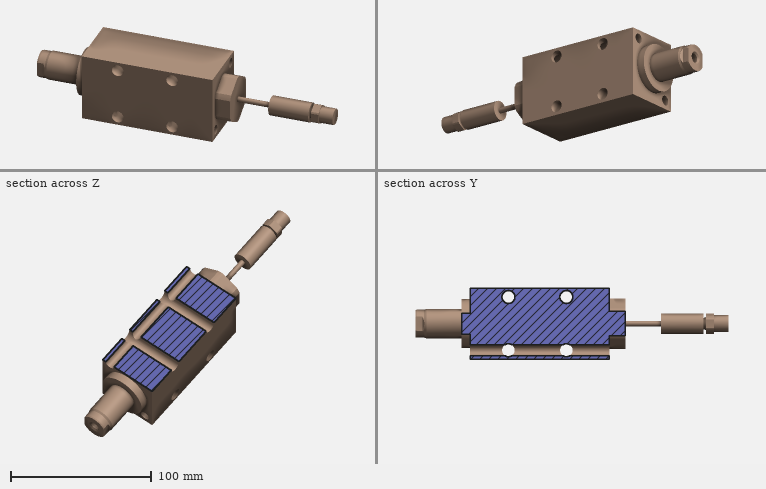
import cadquery as cq
import math


overall_length = 223.0

block_length = 99.0
block_width = 44.4
block_height = 50.8

cross_hole_diameter = 9.0
cross_hole_first_x = 27.2
cross_hole_pitch_x = 41.3
cross_hole_pitch_z = 38.0
long_hole_diameter = 7.1
long_hole_offset_y = 15.5
long_hole_offset_z = 19.0

flange_diameter = 34.8
flange_length = 6.0
nose_overhang = 39.0
tube_diameter = 21.0
nose_diameter = 19.8
nose_length = 6.2
shoulder_length = 1.5
nose_chamfer_length = 1.1
nose_chamfer_depth = 0.2
flats_width = 17.0
flats_length = 5.0

nose_hole_diameter = 6.7
nose_hole_mouth_diameter = 9.0
nose_hole_depth = 11.2

nut_across_flats = 33.0
nut_corner_diameter = 36.0
nut_length = 11.4

cable_diameter = 4.0
cable_length = 25.5
sleeve_diameter = 14.5
sleeve_length = 30.3
neck_start_diameter = 8.0
neck_end_diameter = 9.5
neck_length = 1.8
plug_nut_across_flats = 13.2
plug_nut_corner_diameter = 14.5
plug_nut_length = 5.8
plug_diameter = 12.0

hex_sides = 6
hex_turn = 180 / hex_sides

nose_tip_x = -nose_overhang
tube_start_x = nose_tip_x + nose_length + shoulder_length
cable_start_x = block_length + nut_length
sleeve_start_x = cable_start_x + cable_length
neck_start_x = sleeve_start_x + sleeve_length
plug_nut_start_x = neck_start_x + neck_length
plug_start_x = plug_nut_start_x + plug_nut_length
plug_end_x = nose_tip_x + overall_length


def round_bar(start_x, end_x, diameter):
    """Cylinder on the X axis."""
    plane = cq.Workplane("YZ", origin=(start_x, 0, 0))
    return plane.circle(diameter / 2).extrude(end_x - start_x)


def cone(start_x, end_x, start_diameter, end_diameter):
    """Truncated cone on the X axis."""
    profile = [
        (start_x, 0),
        (start_x, start_diameter / 2),
        (end_x, end_diameter / 2),
        (end_x, 0),
    ]
    return cq.Workplane("XY").polyline(profile).close().revolve(360, (0, 0, 0), (1, 0, 0))


def turned_hex(start_x, length, across_flats, corner_diameter):
    """Hexagonal prism on the X axis with its corners turned down to a cylinder."""
    across_corners = across_flats / math.cos(math.pi / hex_sides)
    plane = cq.Workplane("YZ", origin=(start_x, 0, 0))
    prism = plane.transformed(rotate=(0, 0, hex_turn)).polygon(hex_sides, across_corners).extrude(length)
    return prism.intersect(round_bar(start_x, start_x + length, corner_diameter))


def make_block():
    block = cq.Workplane("XY").box(block_length, block_width, block_height, centered=(False, True, True))
    cross_holes = (
        cq.Workplane("XZ", origin=(cross_hole_first_x + cross_hole_pitch_x / 2, 0, 0))
        .rarray(cross_hole_pitch_x, cross_hole_pitch_z, 2, 2)
        .circle(cross_hole_diameter / 2)
        .extrude(block_width, both=True)
    )
    long_holes = (
        cq.Workplane("YZ")
        .pushPoints([(side * long_hole_offset_y, side * long_hole_offset_z) for side in (1, -1)])
        .circle(long_hole_diameter / 2)
        .extrude(block_length)
    )
    return block.cut(cross_holes).cut(long_holes)


def flat_cutter(side):
    """Removes one wrench flat of the nose, running out at 45 degrees."""
    flat_y = flats_width / 2
    outer_y = tube_diameter
    flat_end_x = nose_tip_x + flats_length
    profile = [
        (nose_tip_x, side * flat_y),
        (flat_end_x, side * flat_y),
        (flat_end_x + outer_y - flat_y, side * outer_y),
        (nose_tip_x, side * outer_y),
    ]
    return cq.Workplane("XY").polyline(profile).close().extrude(tube_diameter, both=True)


def make_nose():
    chamfer_end_x = nose_tip_x + nose_chamfer_length
    nose_end_x = nose_tip_x + nose_length
    nose = cone(nose_tip_x, chamfer_end_x, nose_diameter - 2 * nose_chamfer_depth, nose_diameter)
    nose = nose.union(round_bar(chamfer_end_x, nose_end_x, nose_diameter))
    nose = nose.union(cone(nose_end_x, tube_start_x, nose_diameter, tube_diameter))
    nose = nose.union(round_bar(tube_start_x, 0, tube_diameter))
    for side in (1, -1):
        nose = nose.cut(flat_cutter(side))

    countersink_depth = (nose_hole_mouth_diameter - nose_hole_diameter) / 2
    nose = nose.cut(round_bar(nose_tip_x, nose_tip_x + nose_hole_depth, nose_hole_diameter))
    countersink_end_x = nose_tip_x + countersink_depth
    return nose.cut(cone(nose_tip_x, countersink_end_x, nose_hole_mouth_diameter, nose_hole_diameter))


def make_plug():
    sleeve = round_bar(sleeve_start_x, neck_start_x, sleeve_diameter)
    neck = cone(neck_start_x, plug_nut_start_x, neck_start_diameter, neck_end_diameter)
    plug_nut = turned_hex(
        plug_nut_start_x, plug_nut_length, plug_nut_across_flats, plug_nut_corner_diameter
    )
    plug = round_bar(plug_start_x, plug_end_x, plug_diameter)
    return sleeve.union(neck).union(plug_nut).union(plug)


flange = round_bar(-flange_length, 0, flange_diameter)
nut = turned_hex(block_length, nut_length, nut_across_flats, nut_corner_diameter)
cable = round_bar(cable_start_x, sleeve_start_x, cable_diameter)

result = make_block()
for piece in (flange, make_nose(), nut, cable, make_plug()):
    result = result.union(piece)